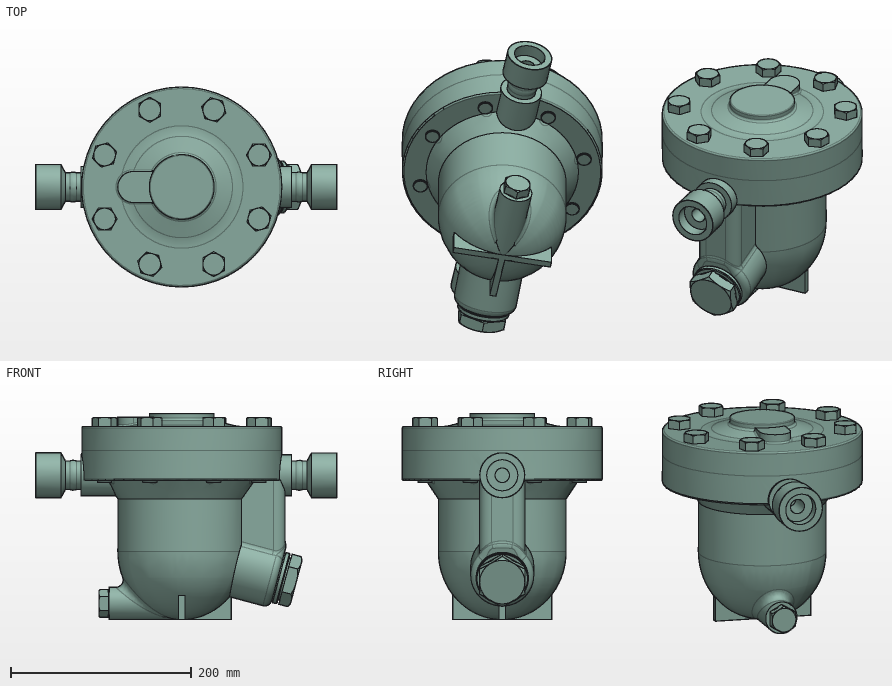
import cadquery as cq
import math

EMBED = 1.0

FLANGE_DIA = 222.0
FLANGE_BOTTOM = -6.0
FLANGE_SPLIT = 27.2
FLANGE_TOP = 54.2
FLANGE_EDGE_FILLET = 1.8
COVER_TOP = 68.7
CROWN_FOOT_RADIUS = 62.0
CROWN_SLOPE = 15.0
CROWN_BLEND_RADIUS = 45.0
COVER_BOSS_DIA = 72.0
COVER_BOSS_FOOT_FILLET = 3.0
COVER_BOSS_EDGE_FILLET = 1.0
LUG_TOP = 64.5
LUG_WIDTH = 34.5
LUG_END_X = -71.0
LUG_FOOT_FILLET = 2.0

BOLT_COUNT = 8
BOLT_PITCH = 360 / BOLT_COUNT
BOLT_CIRCLE_RADIUS = 92.7
BOLT_HEAD_FLATS = 24.0
BOLT_HEAD_HEIGHT = 10.0
BOLT_DIA = 16.0
BOLT_TIP_DIA = 15.0
BOLT_PROTRUSION = 2.2
SPOTFACE_DIA = 21.0

BODY_RADIUS = 71.0
NECK_TOP_RADIUS = 84.5
NECK_BOTTOM = -26.2
BODY_BOTTOM = -160.2
DOME_START = -84.5
FOOT_REACH = 55.0
FOOT_THICKNESS = 7.0
FOOT_HEIGHT = 27.0

INLET_FACE_X = -162.0
OUTLET_FACE_X = 172.0
PORT_PAD_DIA = 46.0
SOCKET_DIA = 50.0
SOCKET_LENGTH = 28.0
SOCKET_EDGE = 0.25
SOCKET_BORE_DIA = 34.5
SOCKET_BORE_DEPTH = 14.0
PORT_BORE_DIA = 16.0
PORT_BORE_DEPTH = 50.0
NECK_DIA = 32.0
SOCKET_TAPER_LENGTH = 5.0
NECK_PLAIN_LENGTH = 5.0
WELD_LENGTH = 7.0
WELD_HEIGHT = 0.7

DRAIN_DIA = 36.0
DRAIN_AXIS_Z = BODY_BOTTOM + DRAIN_DIA / 2
DRAIN_FACE_X = -80.5
DRAIN_FILLET = 8.0
DRAIN_BLEND_LIFT = 3.0
DRAIN_COLLAR_DIA = 25.0
DRAIN_COLLAR_LENGTH = 1.0
DRAIN_HEAD_FLATS = 27.0
DRAIN_HEAD_END_X = -92.0

PASSAGE_WIDTH = 50.0
PASSAGE_END_X = 114.8
PASSAGE_CORNER = 13.0
STRAINER_TILT = 15.0
STRAINER_DIA = 70.0
STRAINER_LENGTH = 110.5
STRAINER_END_FILLET = 8.0
STRAINER_BLEND = 8.0
PLUG_COLLAR_DIA = 58.0
PLUG_COLLAR_START = 112.0
PLUG_COLLAR_END = 117.0
PLUG_COLLAR_CHAMFER = 1.0
PLUG_HEAD_START = 119.0
PLUG_HEAD_END = 131.6
PLUG_HEAD_FLATS = 50.0
PLUG_GASKET_DIA = 54.0
PLUG_NECK_DIA = 48.0

HEAD_CHAMFER_ANGLE = 30.0


def disc(diameter, bottom, top):
    """Cylinder about Z between two heights."""
    return cq.Workplane("XY").workplane(offset=bottom).circle(diameter / 2).extrude(top - bottom)


def hex_head(flats, height):
    """Hexagon on Z = 0 with a corner on +X and its top corners chamfered."""
    corner_radius = flats / math.sqrt(3)
    head = cq.Workplane("XY").polygon(6, 2 * corner_radius).extrude(height)
    chamfer_drop = (corner_radius - flats / 2) * math.tan(math.radians(HEAD_CHAMFER_ANGLE))
    envelope = (
        cq.Workplane("XZ")
        .moveTo(0, 0)
        .lineTo(corner_radius, 0)
        .lineTo(corner_radius, height - chamfer_drop)
        .lineTo(flats / 2, height)
        .lineTo(0, height)
        .close()
        .revolve(360, (0, 0), (0, 1))
    )
    return head.intersect(envelope)


def along_x(shape, z, direction):
    """Turn a shape built on +Z to point along +X or -X at the given height."""
    return shape.rotate((0, 0, 0), (0, 1, 0), 90 * direction).translate((0, 0, z))


def along_strainer(shape):
    """Turn a shape built on +Z onto the sloping strainer axis."""
    return shape.rotate((0, 0, 0), (0, 1, 0), 90 + STRAINER_TILT).translate((0, 0, DOME_START))


def around_bolt_circle(shape):
    """Copies of a shape at every bolt position, half a pitch away from the X axis."""
    angles = [BOLT_PITCH * (index + 0.5) for index in range(BOLT_COUNT)]
    return [shape.rotate((0, 0, 0), (0, 0, 1), angle) for angle in angles]


def make_body():
    """Neck cone, cylinder and slightly elongated dome, turned about Z."""
    dome_depth = DOME_START - BODY_BOTTOM
    return (
        cq.Workplane("XZ")
        .moveTo(0, FLANGE_SPLIT)
        .lineTo(NECK_TOP_RADIUS, FLANGE_SPLIT)
        .lineTo(NECK_TOP_RADIUS, FLANGE_BOTTOM)
        .lineTo(BODY_RADIUS, NECK_BOTTOM)
        .lineTo(BODY_RADIUS, DOME_START)
        .ellipseArc(dome_depth, BODY_RADIUS, 180, 270, rotation_angle=90, sense=-1)
        .close()
        .revolve(360, (0, 0), (0, 1))
    )


def make_lower_flange():
    flange = disc(FLANGE_DIA, FLANGE_BOTTOM, FLANGE_SPLIT)
    return flange.faces("<Z").edges().fillet(FLANGE_EDGE_FILLET)


def make_cover_flange():
    flange = disc(FLANGE_DIA, FLANGE_SPLIT, FLANGE_TOP)
    return flange.faces(">Z").edges().fillet(FLANGE_EDGE_FILLET)


def make_cover_crown():
    """Shallow cone blended into the flange face, with the round centre boss."""
    slope = math.radians(CROWN_SLOPE)
    boss_radius = COVER_BOSS_DIA / 2
    blend_outer = CROWN_FOOT_RADIUS + CROWN_BLEND_RADIUS * math.tan(slope / 2)
    boss_foot_z = FLANGE_TOP + (CROWN_FOOT_RADIUS - boss_radius) * math.tan(slope)

    def blend_point(angle):
        radius = blend_outer - CROWN_BLEND_RADIUS * math.sin(angle)
        return radius, FLANGE_TOP + CROWN_BLEND_RADIUS * (1 - math.cos(angle))

    crown = (
        cq.Workplane("XZ")
        .moveTo(0, FLANGE_TOP - EMBED)
        .lineTo(blend_outer, FLANGE_TOP - EMBED)
        .lineTo(blend_outer, FLANGE_TOP)
        .threePointArc(blend_point(slope / 2), blend_point(slope))
        .lineTo(boss_radius, boss_foot_z)
        .lineTo(boss_radius, COVER_TOP)
        .lineTo(0, COVER_TOP)
        .close()
        .revolve(360, (0, 0), (0, 1))
    )
    crown = crown.faces(">Z").edges().fillet(COVER_BOSS_EDGE_FILLET)
    foot_edge = cq.selectors.NearestToPointSelector((0, 0, boss_foot_z))
    return crown.edges(foot_edge).fillet(COVER_BOSS_FOOT_FILLET)


def make_cover_lug():
    """Flat-topped lug running from the centre boss towards the inlet."""
    end_center_x = LUG_END_X + LUG_WIDTH / 2
    height = LUG_TOP - FLANGE_TOP + EMBED
    base = cq.Workplane("XY").workplane(offset=FLANGE_TOP - EMBED)
    round_end = base.center(end_center_x, 0).circle(LUG_WIDTH / 2).extrude(height)
    bar = base.center(end_center_x / 2, 0).rect(-end_center_x, LUG_WIDTH).extrude(height)
    return bar.union(round_end)


def blend_lug_foot(part):
    """Fillet the foot of the lug where it meets the crown and the flange face."""
    half_width = LUG_WIDTH / 2
    lug_foot = cq.selectors.BoxSelector(
        (LUG_END_X - EMBED, -half_width - EMBED, FLANGE_TOP - EMBED),
        (-COVER_BOSS_DIA / 2, half_width + EMBED, LUG_TOP - EMBED),
    )
    return part.edges(lug_foot).edges("not |Z").fillet(LUG_FOOT_FILLET)


def make_bolts():
    head = hex_head(BOLT_HEAD_FLATS, BOLT_HEAD_HEIGHT).translate((0, 0, FLANGE_TOP))
    tip_bottom = FLANGE_BOTTOM - BOLT_PROTRUSION
    shank = disc(BOLT_DIA, tip_bottom, FLANGE_TOP).faces("<Z").chamfer((BOLT_DIA - BOLT_TIP_DIA) / 2)
    bolt = head.union(shank).rotate((0, 0, 0), (0, 0, 1), -BOLT_PITCH / 2)
    return around_bolt_circle(bolt.translate((BOLT_CIRCLE_RADIUS, 0, 0)))


def make_spotfaces():
    """Clearance cut into the neck cone under each bolt."""
    spotface = disc(SPOTFACE_DIA, NECK_BOTTOM, FLANGE_BOTTOM)
    return around_bolt_circle(spotface.translate((BOLT_CIRCLE_RADIUS, 0, 0)))


def make_feet():
    """Three plain feet: one towards +X and one each towards +Y and -Y."""
    foot = cq.Workplane("XY").box(FOOT_REACH, FOOT_THICKNESS, FOOT_HEIGHT, centered=(False, True, False))
    foot = foot.translate((0, 0, BODY_BOTTOM))
    return [foot.rotate((0, 0, 0), (0, 0, 1), angle) for angle in (-90, 0, 90)]


def make_port(face_x, direction):
    """Socket, taper, weld bead and pad, lying along X; direction is +1 or -1 outwards."""
    length = abs(face_x)
    taper_start = length - SOCKET_LENGTH
    taper_end = taper_start - SOCKET_TAPER_LENGTH
    weld_end = taper_end - NECK_PLAIN_LENGTH
    weld_start = weld_end - WELD_LENGTH
    pad_end = weld_start - NECK_PLAIN_LENGTH
    neck_radius = NECK_DIA / 2
    socket_radius = SOCKET_DIA / 2
    pipe = (
        cq.Workplane("XZ")
        .moveTo(0, pad_end - EMBED)
        .lineTo(neck_radius, pad_end - EMBED)
        .lineTo(neck_radius, weld_start)
        .threePointArc((neck_radius + WELD_HEIGHT, weld_end - WELD_LENGTH / 2), (neck_radius, weld_end))
        .lineTo(neck_radius, taper_end)
        .lineTo(socket_radius, taper_start)
        .lineTo(socket_radius, length)
        .lineTo(0, length)
        .close()
        .revolve(360, (0, 0), (0, 1))
        .faces(">Z")
        .chamfer(SOCKET_EDGE)
    )
    pad = disc(PORT_PAD_DIA, 0, pad_end)
    return along_x(pipe.union(pad), 0, direction)


def make_port_bore(face_x, direction):
    """Pipe socket and the smaller passage through the neck behind it."""
    length = abs(face_x)
    socket = disc(SOCKET_BORE_DIA, length - SOCKET_BORE_DEPTH, length)
    passage = disc(PORT_BORE_DIA, length - PORT_BORE_DEPTH, length)
    return along_x(socket.union(passage), 0, direction)


def make_drain_boss():
    return along_x(disc(DRAIN_DIA, 0, -DRAIN_FACE_X), DRAIN_AXIS_Z, -1)


def make_drain_blend():
    """Dome and boss filleted together, cut off above their tangent line at the bottom."""
    blend_bottom = BODY_BOTTOM + DRAIN_BLEND_LIFT
    below = disc(FLANGE_DIA, BODY_BOTTOM - EMBED, blend_bottom)
    joined = make_body().union(make_drain_boss()).cut(below)
    seam_region = cq.selectors.BoxSelector(
        (-BODY_RADIUS, -DRAIN_DIA, BODY_BOTTOM), (-EMBED, DRAIN_DIA, DOME_START)
    )
    return joined.edges(seam_region).edges("%BSPLINE").fillet(DRAIN_FILLET)


def make_drain_plug():
    collar_end = -DRAIN_FACE_X + DRAIN_COLLAR_LENGTH
    collar = disc(DRAIN_COLLAR_DIA, -DRAIN_FACE_X - EMBED, collar_end)
    head = hex_head(DRAIN_HEAD_FLATS, -DRAIN_HEAD_END_X - collar_end).translate((0, 0, collar_end))
    return along_x(collar.union(head), DRAIN_AXIS_Z, -1)


def make_outlet_passage():
    """Upright rib beside the body, from the strainer up into the flange."""
    bottom = DOME_START - STRAINER_DIA / 2
    height = FLANGE_BOTTOM + EMBED - bottom
    rib = cq.Workplane("XY").box(PASSAGE_END_X, PASSAGE_WIDTH, height, centered=(False, True, False))
    rib = rib.edges("|Z and >X").fillet(PASSAGE_CORNER)
    return rib.translate((0, 0, bottom))


def make_strainer_side():
    """Passage and sloping strainer housing, blended together, with a rounded end face."""
    longer_housing = along_strainer(disc(STRAINER_DIA, 0, STRAINER_LENGTH + STRAINER_DIA))
    side = make_outlet_passage().union(longer_housing)
    seam_region = cq.selectors.BoxSelector(
        (STRAINER_DIA / 4, -STRAINER_DIA, DOME_START - PASSAGE_WIDTH / 2),
        (PASSAGE_END_X + EMBED, STRAINER_DIA, DOME_START + STRAINER_DIA / 2),
    )
    side = side.edges(seam_region).edges("not |Z").fillet(STRAINER_BLEND)
    side = side.cut(along_strainer(disc(FLANGE_DIA, STRAINER_LENGTH, STRAINER_LENGTH + FLANGE_DIA)))
    tilt = math.radians(STRAINER_TILT)
    strainer_axis = cq.Vector(math.cos(tilt), 0, -math.sin(tilt))
    end_face = cq.selectors.DirectionMinMaxSelector(strainer_axis)
    return side.faces(end_face).edges().fillet(STRAINER_END_FILLET)


def make_strainer_plug():
    """Gasket, collar and hexagon head closing the strainer housing."""
    neck = disc(PLUG_NECK_DIA, STRAINER_LENGTH - EMBED, PLUG_HEAD_START)
    gasket = disc(PLUG_GASKET_DIA, STRAINER_LENGTH - EMBED, PLUG_COLLAR_START)
    collar = disc(PLUG_COLLAR_DIA, PLUG_COLLAR_START, PLUG_COLLAR_END)
    collar = collar.faces(">Z").chamfer(PLUG_COLLAR_CHAMFER)
    head = hex_head(PLUG_HEAD_FLATS, PLUG_HEAD_END - PLUG_HEAD_START).translate((0, 0, PLUG_HEAD_START))
    return along_strainer(neck.union(gasket).union(collar).union(head))


cover = blend_lug_foot(make_cover_flange().union(make_cover_crown()).union(make_cover_lug()))

result = make_body().union(make_lower_flange())
for spotface in make_spotfaces():
    result = result.cut(spotface)
result = result.union(make_drain_boss()).union(make_drain_blend()).union(make_drain_plug())
result = result.union(make_strainer_side()).union(make_strainer_plug())
for foot in make_feet():
    result = result.union(foot)
for face_x, direction in ((INLET_FACE_X, -1), (OUTLET_FACE_X, 1)):
    result = result.union(make_port(face_x, direction))
    result = result.cut(make_port_bore(face_x, direction))
for bolt in make_bolts():
    result = result.union(bolt)
result = result.union(cover, clean=False)